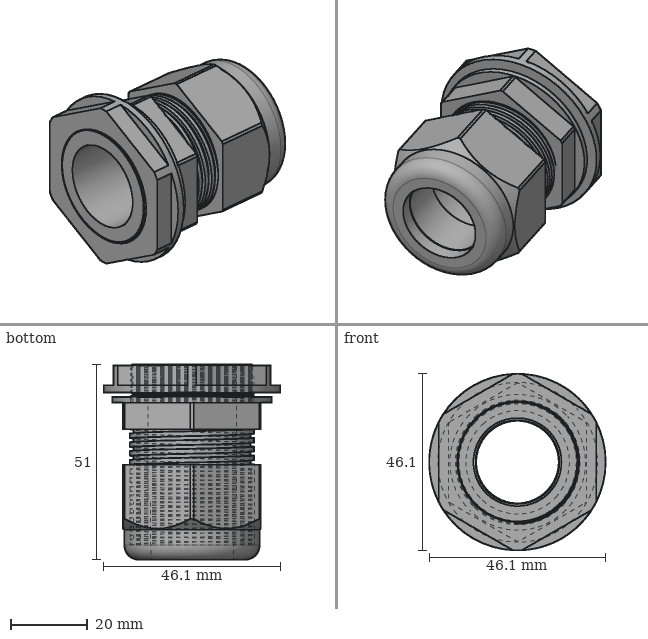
import cadquery as cq
import math


overall_length = 51.0
locknut_start = 0.3
locknut_height = 7.1
washer_thickness = 1.5
entry_thread_length = 10.0
body_hex_height = 7.0
cap_start = 26.15

body_hex_top = entry_thread_length + body_hex_height
washer_start = entry_thread_length - washer_thickness

gland_flats = 36.0
gland_corner_radius = 20.55
locknut_flats = 41.0
locknut_radius = 23.05
locknut_flange_height = 2.0

entry_pitch = 1.5
entry_root_radius = 15.5
entry_ridge_height = 0.6
entry_base_width = 1.35
entry_crest_width = 0.35
entry_ridge_offset = 0.35
entry_chamfer = 0.5
nut_thread_clearance = 0.2

clamp_pitch = 2.3
clamp_root_radius = 15.3
clamp_ridge_height = 0.95
clamp_base_width = 1.4
clamp_crest_width = 1.2
clamp_ridge_offset = 0.5

ridge_embed = 0.2
entry_crest_radius = entry_root_radius + entry_ridge_height
clamp_crest_radius = clamp_root_radius + clamp_ridge_height

body_bore_radius = 11.5
seal_bore_radius = 10.95
cap_bore_radius = 10.75

cap_dome_radius = 17.7
cap_dome_fillet = 3.9
cap_cone_start = 40.3
cap_cavity_top = overall_length - cap_dome_fillet

seal_length = 12.0
seal_start = cap_cavity_top - seal_length
seal_radius = 13.5
washer_radius = 20.85


def cylinder(radius, start, end):
    return cq.Workplane("XY").workplane(offset=start).circle(radius).extrude(end - start)


def hexagon(flats, corner_radius, start, end):
    """Hexagonal prism with flats facing +X and -X and its corners turned to a circle."""
    half_sector = 30
    across_corners = flats / math.cos(math.radians(half_sector))
    prism = cq.Workplane("XY").workplane(offset=start).polygon(6, across_corners).extrude(end - start)
    prism = prism.rotate((0, 0, 0), (0, 0, 1), half_sector)
    return prism.intersect(cylinder(corner_radius, start, end))


def helical_ridge(start, end, pitch, root_radius, height, base_width, crest_width):
    """Right-hand trapezoidal ridge centred at start on the +X side and climbing past end."""
    rise = (math.ceil((end - start) / pitch) + 1) * pitch
    profile = [
        (root_radius - ridge_embed, -base_width / 2),
        (root_radius + height, -crest_width / 2),
        (root_radius + height, crest_width / 2),
        (root_radius - ridge_embed, base_width / 2),
    ]
    edges = []
    for radius, offset in profile:
        helix = cq.Wire.makeHelix(pitch, rise, radius)
        edges.append(helix.translate(cq.Vector(0, 0, start + offset)).Edges()[0])
    faces = [cq.Face.makeRuledSurface(edge, edges[index - 1]) for index, edge in enumerate(edges)]
    for corners in ([edge.startPoint() for edge in edges], [edge.endPoint() for edge in edges]):
        faces.append(cq.Face.makeFromWires(cq.Wire.makePolygon(corners, close=True)))
    return cq.Workplane(cq.Solid.makeSolid(cq.Shell.makeShell(faces)))


def entry_ridge(clearance=0.0):
    """Ridge of the entry thread, moved outward by the clearance."""
    start = entry_ridge_offset - 2 * entry_pitch
    root_radius = entry_root_radius + clearance
    return helical_ridge(start, entry_thread_length, entry_pitch, root_radius,
                         entry_ridge_height, entry_base_width, entry_crest_width)


def clamp_ridge():
    start = body_hex_top + clamp_ridge_offset - 2 * clamp_pitch
    return helical_ridge(start, cap_cavity_top, clamp_pitch, clamp_root_radius,
                         clamp_ridge_height, clamp_base_width, clamp_crest_width)


def threaded_rod(root_radius, ridge, crest_radius, start, end, chamfer=0.0):
    """Root cylinder and ridge, the ridge trimmed to the rod ends and to a chamfer at its start."""
    trim_allowance = 0.5
    envelope = cylinder(crest_radius + trim_allowance, start, end)
    if chamfer:
        envelope = envelope.faces("<Z").chamfer(chamfer + trim_allowance)
    return cylinder(root_radius, start, end).union(ridge.intersect(envelope))


def make_body():
    entry = threaded_rod(entry_root_radius, entry_ridge(), entry_crest_radius,
                         0, entry_thread_length, entry_chamfer)
    clamp = threaded_rod(clamp_root_radius, clamp_ridge(), clamp_crest_radius,
                         body_hex_top, cap_cavity_top)
    grip = hexagon(gland_flats, gland_corner_radius, entry_thread_length, body_hex_top)
    seal_seat = cylinder(seal_radius, seal_start, cap_cavity_top)
    bore = cylinder(body_bore_radius, 0, cap_cavity_top)
    return grip.union(entry).union(clamp).cut(bore).cut(seal_seat)


def make_cap():
    """Hexagon turned to a 45 degree cone at its upper end, under a rounded dome."""
    dome = cylinder(cap_dome_radius, cap_cone_start, overall_length)
    dome = dome.faces(">Z").edges().fillet(cap_dome_fillet)
    cone_height = gland_corner_radius - cap_dome_radius
    grip_end = cap_cone_start + cone_height
    grip = hexagon(gland_flats, gland_corner_radius, cap_start, grip_end)
    turned = cylinder(gland_corner_radius, cap_start, grip_end)
    turned = turned.faces(">Z").chamfer(cone_height)
    cavity = cylinder(clamp_crest_radius, cap_start, cap_cavity_top)
    bore = cylinder(cap_bore_radius, cap_cavity_top, overall_length)
    return grip.intersect(turned).union(dome).cut(cavity).cut(bore)


def make_seal():
    outer = cylinder(seal_radius, seal_start, cap_cavity_top)
    return outer.cut(cylinder(seal_bore_radius, seal_start, cap_cavity_top))


def make_washer():
    outer = cylinder(washer_radius, washer_start, entry_thread_length)
    return outer.cut(cylinder(entry_crest_radius, washer_start, entry_thread_length))


def make_locknut():
    end = locknut_start + locknut_height
    grip = hexagon(locknut_flats, locknut_radius, locknut_start, end)
    flange = cylinder(locknut_radius, end - locknut_flange_height, end)
    hole = cylinder(entry_root_radius + nut_thread_clearance, locknut_start, end)
    return grip.union(flange).cut(hole).cut(entry_ridge(nut_thread_clearance))


def lay_down(upright):
    """Turn the gland axis from +Z to +Y."""
    return upright.rotate((0, 0, 0), (1, 0, 0), -90).solids()


body = lay_down(make_body())
cap = lay_down(make_cap())
seal = lay_down(make_seal())
washer = lay_down(make_washer())
locknut = lay_down(make_locknut())

result = cq.Compound.makeCompound([
    body.val(),
    cap.val(),
    seal.val(),
    washer.val(),
    locknut.val(),
])